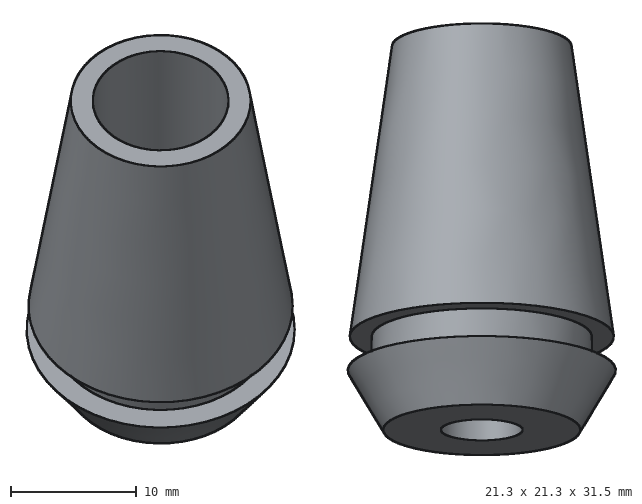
import cadquery as cq
import math

total_height = 31.5
flange_diameter = 21.3

flange_height = 4.88
flange_angle = 30.0

groove_diameter = 17.48
groove_width = 2.77

body_base_diameter = 20.98
body_angle = 8.0

bore_diameter = 6.5
counterbore_diameter = 10.77
counterbore_depth = 18.9


def radius_lost(angle, height):
    """Radius lost by a cone over a height, for an angle from its axis."""
    return height * math.tan(math.radians(angle))


flange_radius = flange_diameter / 2
flange_base_radius = flange_radius - radius_lost(flange_angle, flange_height)
groove_radius = groove_diameter / 2
body_start = flange_height + groove_width
body_base_radius = body_base_diameter / 2
body_top_radius = body_base_radius - radius_lost(body_angle, total_height - body_start)
bore_radius = bore_diameter / 2
counterbore_radius = counterbore_diameter / 2
counterbore_floor = total_height - counterbore_depth

half_section = [
    (bore_radius, 0),
    (flange_base_radius, 0),
    (flange_radius, flange_height),
    (groove_radius, flange_height),
    (groove_radius, body_start),
    (body_base_radius, body_start),
    (body_top_radius, total_height),
    (counterbore_radius, total_height),
    (counterbore_radius, counterbore_floor),
    (bore_radius, counterbore_floor),
]

result = (
    cq.Workplane("XZ")
    .polyline(half_section)
    .close()
    .revolve(360, (0, 0, 0), (0, 1, 0))
)